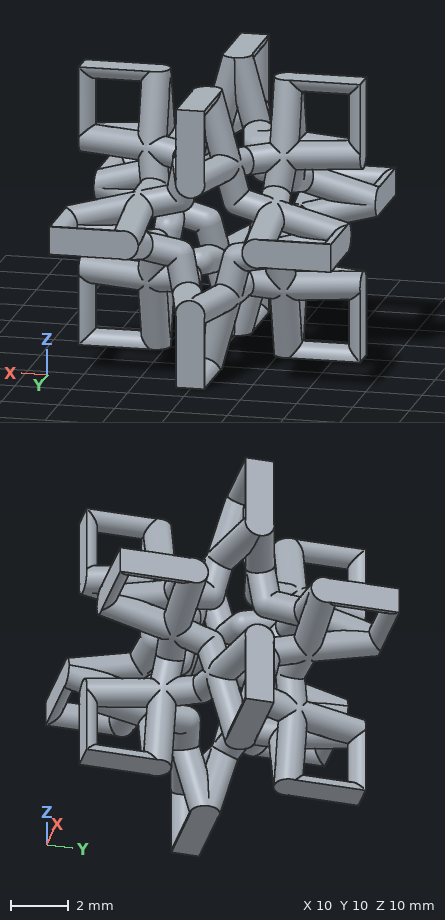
import cadquery as cq

cell_size = 10.0
strut_diameter = 1.0

frame_inset = 2.345
fork_spread = 0.72
ring_near = 1.02
ring_far = 2.15

axis_count = 3

half_cell = cell_size / 2
strut_radius = strut_diameter / 2


def ball(node):
    """Sphere that rounds off the struts meeting at a node."""
    return cq.Workplane("XY").sphere(strut_radius).translate(node)


def strut(start, end):
    """Round bar between two nodes."""
    start_point = cq.Vector(*start)
    along = cq.Vector(*end) - start_point
    return cq.Workplane(cq.Solid.makeCylinder(strut_radius, along.Length, start_point, along))


def rotate_axes(node, turns):
    """Node turned about the body diagonal of the octant, one axis per turn."""
    return node[turns:] + node[:turns]


def octant_chains():
    """Node chains: a closed frame at each cell edge and the ring struts about the diagonal."""
    edge_middle = (0, half_cell, half_cell)
    frame_corner_y = (0, half_cell, frame_inset)
    frame_corner_z = (0, frame_inset, half_cell)
    fork = (fork_spread, frame_inset, frame_inset)
    ring_y = (ring_near, ring_far, ring_near)
    ring_z = (ring_near, ring_near, ring_far)
    frame = [edge_middle, frame_corner_y, fork, frame_corner_z, edge_middle]
    ring_part = [ring_y, fork, ring_z]
    chains = []
    for turns in range(axis_count):
        for chain in (frame, ring_part):
            chains.append([rotate_axes(node, turns) for node in chain])
    return chains


def build_octant():
    """Struts and node balls of the positive octant, trimmed to its planes."""
    pieces = []
    nodes = set()
    for chain in octant_chains():
        nodes.update(chain)
        for start, end in zip(chain, chain[1:]):
            pieces.append(strut(start, end))
    for node in sorted(nodes):
        pieces.append(ball(node))
    body = pieces[0]
    for piece in pieces[1:]:
        body = body.union(piece)
    octant_box = cq.Workplane("XY").box(half_cell, half_cell, half_cell, centered=False)
    return body.intersect(octant_box)


def build_cell():
    """Whole cell, mirrored from one octant across the three mid planes."""
    cell = build_octant()
    for mid_plane in ("YZ", "XZ", "XY"):
        cell = cell.union(cell.mirror(mid_plane))
    return cell.clean()


result = build_cell()